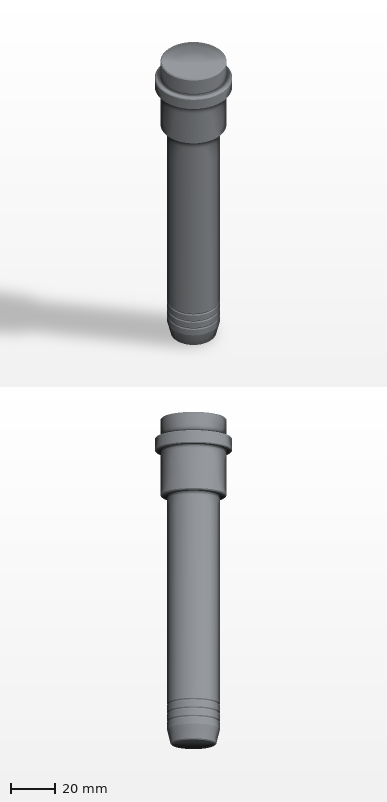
import cadquery as cq

length = 151.0
flange_radius = 17.5
head_radius = 15.0
shaft_radius = 12.0
tip_radius = 10.3

flange_top = 142.0
flange_bottom = 136.0
head_bottom = 115.0
taper_top = 7.0

head_chamfer = 0.5
flange_chamfer = 0.38
tip_chamfer = 0.5

relief_width = 1.0
relief_depth = 0.23

ring_width = 1.0
ring_depth = 0.38
ring_pitch = 4.0
lowest_ring_bottom = 10.0
ring_count = 3


def cylinder(radius, bottom, top):
    """Solid cylinder about Z between two heights."""
    return cq.Workplane("XY").workplane(offset=bottom).circle(radius).extrude(top - bottom)


def square_groove(outer_radius, depth, bottom, width):
    """Ring-shaped cutter that leaves a square groove of the given depth."""
    ring = cq.Workplane("XY").workplane(offset=bottom)
    return ring.circle(outer_radius).circle(outer_radius - depth).extrude(width)


def vee_groove(outer_radius, depth, bottom, width):
    """Ring-shaped cutter that leaves a symmetric V groove of the given depth."""
    profile = [
        (outer_radius, bottom),
        (outer_radius - depth, bottom + width / 2),
        (outer_radius, bottom + width),
    ]
    return cq.Workplane("XZ").polyline(profile).close().revolve(360, (0, 0, 0), (0, 1, 0))


head = cylinder(head_radius, head_bottom, length).edges().chamfer(head_chamfer)
flange = cylinder(flange_radius, flange_bottom, flange_top).edges().chamfer(flange_chamfer)
shaft = cylinder(shaft_radius, taper_top, head_bottom)

tip = (
    cq.Workplane("XY")
    .circle(tip_radius)
    .workplane(offset=taper_top)
    .circle(shaft_radius)
    .loft(ruled=True)
    .faces("<Z")
    .edges()
    .chamfer(tip_chamfer)
)

result = head.union(flange).union(shaft).union(tip)

result = result.cut(vee_groove(head_radius, relief_depth, flange_top, relief_width))
result = result.cut(vee_groove(head_radius, relief_depth, flange_bottom - relief_width, relief_width))
result = result.cut(square_groove(shaft_radius, relief_depth, head_bottom - relief_width, relief_width))

for index in range(ring_count):
    ring_bottom = lowest_ring_bottom + index * ring_pitch
    result = result.cut(vee_groove(shaft_radius, ring_depth, ring_bottom, ring_width))